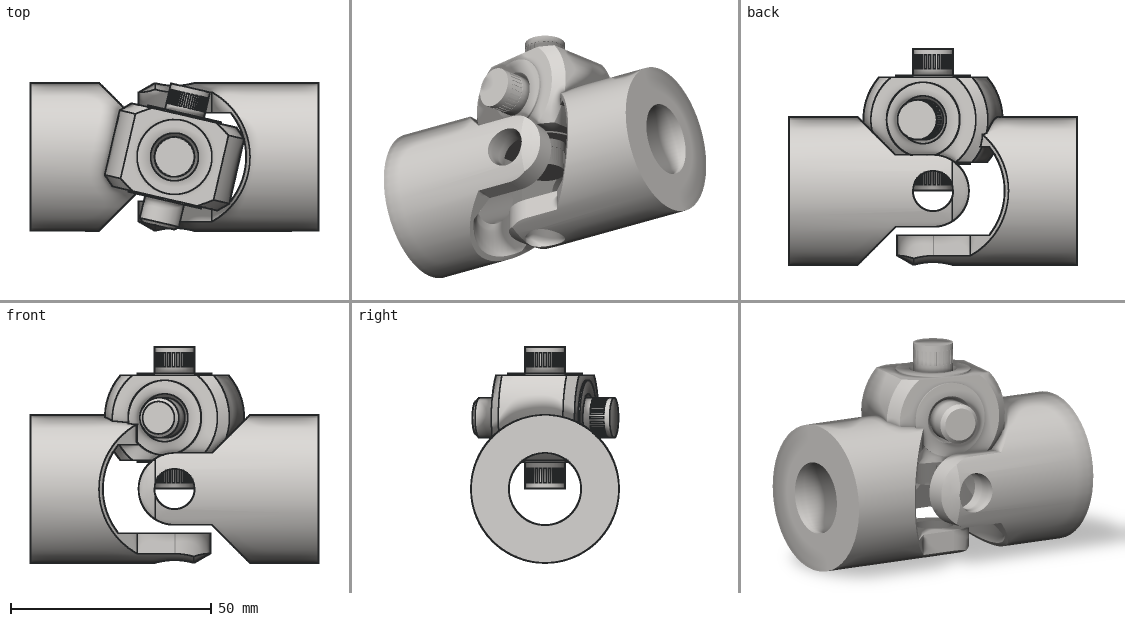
import cadquery as cq
import math


joint_length = 72.0
yoke_diameter = 37.0
bore_diameter = 18.0
ear_width = 18.0
ear_straight = 9.35
ear_gap = 22.0
slot_end_radius = 17.85
ear_tip_bevel = 4.2
ear_tip_bevel_angle = 30.0
pin_diameter = 10.0

block_diameter = 32.0
block_width = 21.3
block_turn = -13.0
block_height = 17.8
rim_bevel_radial = 2.5
rim_bevel_axial = 2.4
pad_diameter = 18.7
pad_thickness = 0.4
countersink_diameter = 11.95

pin_reach = 17.7
end_chamfer = 0.9
knurl_start = 1.5
knurl_length = 3.5
knurl_teeth = 27
knurl_depth = 0.15

pad_height = block_width / 2 + pad_thickness
pin_radius = pin_diameter / 2

origin = (0, 0, 0)
x_axis = (1, 0, 0)
y_axis = (0, 1, 0)
z_axis = (0, 0, 1)


def make_yoke():
    """Yoke with its end face at -X and its ears at +Z and -Z."""
    radius = yoke_diameter / 2
    ear_tip = ear_width / 2
    end_face = -joint_length / 2
    bevel_drop = ear_tip_bevel * math.tan(math.radians(ear_tip_bevel_angle))

    body = (
        cq.Workplane("XY")
        .moveTo(end_face, bore_diameter / 2)
        .lineTo(end_face, radius)
        .lineTo(ear_tip - ear_tip_bevel, radius)
        .lineTo(ear_tip, radius - bevel_drop)
        .lineTo(ear_tip, bore_diameter / 2)
        .close()
        .revolve(360, origin, x_axis)
    )

    shoulder = radius - ear_tip
    plan = (
        cq.Workplane("XY")
        .workplane(offset=-radius)
        .moveTo(end_face, -radius)
        .lineTo(-ear_straight - shoulder, -radius)
        .lineTo(-ear_straight, -ear_tip)
        .lineTo(0, -ear_tip)
        .threePointArc((ear_tip, 0), (0, ear_tip))
        .lineTo(-ear_straight, ear_tip)
        .lineTo(-ear_straight - shoulder, radius)
        .lineTo(end_face, radius)
        .close()
        .extrude(yoke_diameter)
    )

    slot_floor = cq.Workplane("XZ").circle(slot_end_radius).extrude(radius, both=True)
    slot = cq.Workplane("XY").box(joint_length, yoke_diameter, ear_gap).intersect(slot_floor)

    pin_hole = cq.Workplane("XY").circle(pin_radius).extrude(radius, both=True)
    return body.intersect(plan).cut(slot).cut(pin_hole)


def place_at_block(shape):
    """Turn a shape built about the origin and lift it to the block centre."""
    return shape.rotate(origin, z_axis, block_turn).translate((0, 0, block_height))


def make_block():
    """Round block with bevelled rims, flat top and bottom, four pads and crossing bores."""
    radius = block_diameter / 2
    half_width = block_width / 2
    disc = (
        cq.Workplane("XY")
        .moveTo(0, -half_width)
        .lineTo(radius - rim_bevel_radial, -half_width)
        .lineTo(radius, -half_width + rim_bevel_axial)
        .lineTo(radius, half_width - rim_bevel_axial)
        .lineTo(radius - rim_bevel_radial, half_width)
        .lineTo(0, half_width)
        .close()
        .revolve(360, origin, y_axis)
    )
    block = disc.intersect(cq.Workplane("XY").box(block_diameter, block_width, block_width))

    sink_radius = countersink_diameter / 2
    sink_depth = sink_radius - pin_radius
    bore_half = (
        cq.Workplane("XZ")
        .lineTo(pin_radius, 0)
        .lineTo(pin_radius, pad_height - sink_depth)
        .lineTo(sink_radius, pad_height)
        .lineTo(0, pad_height)
        .close()
        .revolve(360, origin, y_axis)
    )
    pad_pair = cq.Workplane("XY").circle(pad_diameter / 2).extrude(pad_height, both=True)
    bore = bore_half.union(bore_half.mirror("XY"))

    for tilt in (0, 90):
        block = block.union(pad_pair.rotate(origin, x_axis, tilt))
    for tilt in (0, 90):
        block = block.cut(bore.rotate(origin, x_axis, tilt))
    return block


def knurl_grooves():
    """Flat-bottomed grooves, as wide as the teeth, around a pin on Z that ends at pin_reach."""
    groove_width = math.pi * pin_diameter / knurl_teeth / 2
    knurl_middle = pin_reach - knurl_start - knurl_length / 2
    grooves = (
        cq.Workplane("XY")
        .workplane(offset=knurl_middle)
        .polarArray(pin_radius, 0, 360, knurl_teeth)
        .box(2 * knurl_depth, groove_width, knurl_length, combine=False)
    )
    return cq.Compound.makeCompound(grooves.vals())


def make_short_pin():
    """Plain-ended pin on Z, from the side of the long pin to pin_reach, knurled near its end."""
    pin = (
        cq.Workplane("XY")
        .workplane(offset=pin_radius)
        .circle(pin_radius)
        .extrude(pin_reach - pin_radius)
    )
    return pin.cut(cq.Workplane(knurl_grooves()))


def make_long_pin():
    """Pin along Y through the block, chamfered at -Y and knurled at +Y."""
    pin = cq.Workplane("XY").circle(pin_radius).extrude(pin_reach, both=True)
    pin = pin.faces("<Z").chamfer(end_chamfer)
    return pin.cut(cq.Workplane(knurl_grooves())).rotate(origin, x_axis, -90)


long_pin = place_at_block(make_long_pin())
short_pins = []
for flip in (0, 180):
    short_pin = make_short_pin().rotate(origin, x_axis, flip)
    short_pins.append(place_at_block(short_pin).solids().val())

left_yoke = make_yoke()
right_yoke = make_yoke().rotate(origin, z_axis, 180).rotate(origin, x_axis, 90)

block = place_at_block(make_block()).cut(left_yoke).cut(right_yoke)
left_yoke = left_yoke.cut(long_pin)

result = cq.Compound.makeCompound(
    [
        left_yoke.solids().val(),
        right_yoke.solids().val(),
        block.solids().val(),
        long_pin.solids().val(),
        *short_pins,
    ]
)